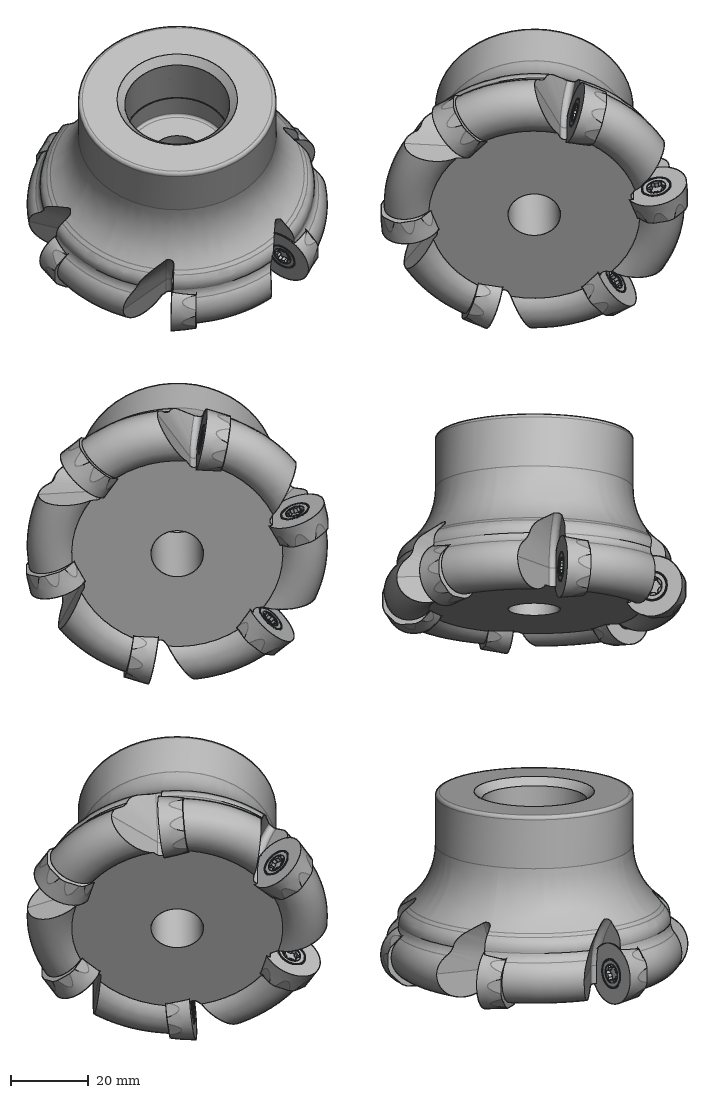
import cadquery as cq
import math

TEETH = 6
CUTTING_DIAMETER = 80.0
TOOTH_PITCH = 360 / TEETH

HEIGHT = 50.0
HUB_RADIUS = 25.5
HUB_EDGE_FILLET = 1.0
HUB_BOTTOM_Z = 36.0
FLARE_ARC_RADIUS = 20.0
FLARE_BOTTOM_Z = 20.6
SHOULDER_TOP_Z = 19.8
SHOULDER_BOTTOM_Z = 16.0
SHOULDER_ARC_RADIUS = 4.5
SHOULDER_RADIUS = 35.35
SHOULDER_WIDEST_Z = 16.3

RIM_OUTER_RADIUS = 38.68
RIM_ARC_RADIUS = 6.7
RIM_CENTRE_Z = 8.8
RIM_TOP_Z = 13.75
UNDERSIDE_Z = 4.1

BORE_DIAMETER = 27.01
BORE_CHAMFER = 2.0
BORE_DEPTH = 22.0
RELIEF_DIAMETER = 27.5
RELIEF_TOP_DEPTH = 15.0
BORE_FLOOR_DIAMETER = 26.0
THROUGH_DIAMETER = 13.5

INSERT_RADIUS = 8.0
INSERT_THICKNESS = 6.35
INSERT_RELIEF_ANGLE = 7.0
RELIEF_SLOPE = math.tan(math.radians(INSERT_RELIEF_ANGLE))
INSERT_CENTRE_X = CUTTING_DIAMETER / 2 - INSERT_RADIUS
INSERT_CENTRE_Z = INSERT_RADIUS
FLAT_COUNT = 8
FLAT_START_DEPTH = 2.9
FLAT_BACK_DISTANCE = 6.95

HEAD_DIAMETER = 7.15
HEAD_SEAT_DIAMETER = 7.8
HEAD_GAP_DEPTH = 0.4
SOCKET_RIM_DIAMETER = 5.0
SOCKET_DIAMETER = 4.5
SOCKET_LOBE_DIAMETER = 0.9
SOCKET_CORE_DIAMETER = 3.5
SOCKET_RIM_DEPTH = 0.25
SOCKET_DEPTH = 1.5
SOCKET_LOBES = 6

GULLET_WALL_Y = 0.4
GULLET_CORNER_X = 23.8
GULLET_ARC_START_Z = 9.0
GULLET_ARC_RADIUS = 20.0
GULLET_TOP_Z = 24.0
GULLET_CORNER_RADIUS = 1.3
GULLET_REACH = 22.0
CLEARANCE = 1.0


def arc_offset(radius, distance):
    """How far an arc leaves its tangent line, at a distance along that line."""
    return radius - math.sqrt(radius**2 - distance**2)


def circle_reach(radius, distance):
    """Half chord of a circle, at a distance from its centre."""
    return math.sqrt(radius**2 - distance**2)


def shoulder_radius_at(z):
    """Radius of the body on the bulging shoulder, at a height."""
    return SHOULDER_RADIUS - arc_offset(SHOULDER_ARC_RADIUS, z - SHOULDER_WIDEST_Z)


def make_blank():
    """The turned body: hub, flare, shoulder, neck and rounded rim."""
    flare_drop = HUB_BOTTOM_Z - FLARE_BOTTOM_Z
    flare_radius = HUB_RADIUS + arc_offset(FLARE_ARC_RADIUS, flare_drop)
    flare_mid = HUB_RADIUS + arc_offset(FLARE_ARC_RADIUS, flare_drop / 2)
    shoulder_mid_z = (SHOULDER_TOP_Z + SHOULDER_BOTTOM_Z) / 2
    shoulder_top = shoulder_radius_at(SHOULDER_TOP_Z)
    shoulder_mid = shoulder_radius_at(shoulder_mid_z)
    shoulder_bottom = shoulder_radius_at(SHOULDER_BOTTOM_Z)
    rim_centre = RIM_OUTER_RADIUS - RIM_ARC_RADIUS
    rim_top = rim_centre + circle_reach(RIM_ARC_RADIUS, RIM_TOP_Z - RIM_CENTRE_Z)
    rim_inner = rim_centre - circle_reach(RIM_ARC_RADIUS, RIM_CENTRE_Z - UNDERSIDE_Z)

    profile = (
        cq.Workplane("XZ")
        .moveTo(0, UNDERSIDE_Z)
        .lineTo(rim_inner, UNDERSIDE_Z)
        .threePointArc((rim_centre, RIM_CENTRE_Z - RIM_ARC_RADIUS), (RIM_OUTER_RADIUS, RIM_CENTRE_Z))
        .tangentArcPoint((rim_top, RIM_TOP_Z), relative=False)
        .tangentArcPoint((shoulder_bottom, SHOULDER_BOTTOM_Z), relative=False)
        .threePointArc((shoulder_mid, shoulder_mid_z), (shoulder_top, SHOULDER_TOP_Z))
        .lineTo(flare_radius, FLARE_BOTTOM_Z)
        .threePointArc((flare_mid, HUB_BOTTOM_Z - flare_drop / 2), (HUB_RADIUS, HUB_BOTTOM_Z))
        .lineTo(HUB_RADIUS, HEIGHT)
        .lineTo(0, HEIGHT)
        .close()
    )
    return profile.revolve(360, (0, 0, 0), (0, 1, 0)).faces(">Z").edges().fillet(HUB_EDGE_FILLET)


def make_bore():
    """Chamfered bore with a relieved lower part, a rounded floor corner and a through hole."""
    bore_radius = BORE_DIAMETER / 2
    relief_radius = RELIEF_DIAMETER / 2
    floor_radius = BORE_FLOOR_DIAMETER / 2
    floor_z = HEIGHT - BORE_DEPTH
    relief_z = HEIGHT - RELIEF_TOP_DEPTH
    corner = relief_radius - floor_radius
    return (
        cq.Workplane("XZ")
        .lineTo(THROUGH_DIAMETER / 2, 0)
        .lineTo(THROUGH_DIAMETER / 2, floor_z)
        .lineTo(floor_radius, floor_z)
        .radiusArc((relief_radius, floor_z + corner), -corner)
        .lineTo(relief_radius, relief_z)
        .lineTo(bore_radius, relief_z)
        .lineTo(bore_radius, HEIGHT - BORE_CHAMFER)
        .lineTo(bore_radius + BORE_CHAMFER, HEIGHT)
        .lineTo(0, HEIGHT)
        .close()
        .revolve(360, (0, 0, 0), (0, 1, 0))
    )


def make_gullet():
    """Space cut away in front of the insert at +X: a wall along X and a face at 45 degrees to it that
    curves outward above its straight lower part, joined by a round root."""
    rise = GULLET_TOP_Z - GULLET_ARC_START_Z
    top_x = GULLET_CORNER_X + arc_offset(GULLET_ARC_RADIUS, rise)
    mid_x = GULLET_CORNER_X + arc_offset(GULLET_ARC_RADIUS, rise / 2)
    outer_x = GULLET_CORNER_X + GULLET_REACH
    section = (
        cq.Workplane("XZ", origin=(0, GULLET_WALL_Y, 0))
        .moveTo(GULLET_CORNER_X, -CLEARANCE)
        .lineTo(GULLET_CORNER_X, GULLET_ARC_START_Z)
        .threePointArc((mid_x, GULLET_ARC_START_Z + rise / 2), (top_x, GULLET_TOP_Z))
        .lineTo(outer_x, GULLET_TOP_Z)
        .lineTo(outer_x, -CLEARANCE)
        .close()
        .wires()
        .val()
    )
    slope_run = cq.Vector(GULLET_REACH, -GULLET_REACH, 0)
    gullet_space = cq.Solid.extrudeLinear(section, [], slope_run)
    return cq.Workplane(gullet_space).faces(">Y").edges("<X or %CIRCLE").fillet(GULLET_CORNER_RADIUS)


def make_cone():
    """Tapered disc of the insert at +X; also the shape of its seat in the body."""
    back_radius = INSERT_RADIUS - INSERT_THICKNESS * RELIEF_SLOPE
    cone = (
        cq.Workplane("XY")
        .lineTo(INSERT_RADIUS, 0)
        .lineTo(back_radius, INSERT_THICKNESS)
        .lineTo(0, INSERT_THICKNESS)
        .close()
        .revolve(360, (0, 0, 0), (0, 1, 0))
    )
    return cone.translate((INSERT_CENTRE_X, 0, INSERT_CENTRE_Z))


def cut_flats(cone):
    """Indexing flats around the rear of the insert's side."""
    start_radius = INSERT_RADIUS - FLAT_START_DEPTH * RELIEF_SLOPE
    flat = (
        cq.Workplane("XY")
        .moveTo(start_radius, FLAT_START_DEPTH)
        .lineTo(FLAT_BACK_DISTANCE, INSERT_THICKNESS)
        .lineTo(INSERT_RADIUS, INSERT_THICKNESS)
        .lineTo(INSERT_RADIUS, FLAT_START_DEPTH)
        .close()
        .extrude(INSERT_RADIUS / 2, both=True)
    )
    for index in range(FLAT_COUNT):
        turned = flat.rotate((0, 0, 0), (0, 1, 0), index * 360 / FLAT_COUNT)
        cone = cone.cut(turned.translate((INSERT_CENTRE_X, 0, INSERT_CENTRE_Z)))
    return cone


def add_screw_head(blank):
    """Ring gap around the screw head, and its six-lobed socket, cut into the insert face."""
    face = cq.Workplane("XZ", origin=(INSERT_CENTRE_X, 0, INSERT_CENTRE_Z))
    gap = face.circle(HEAD_SEAT_DIAMETER / 2).circle(HEAD_DIAMETER / 2).extrude(-HEAD_GAP_DEPTH)
    rim = face.circle(SOCKET_RIM_DIAMETER / 2).extrude(-SOCKET_RIM_DEPTH)
    core = face.circle(SOCKET_CORE_DIAMETER / 2).extrude(-SOCKET_DEPTH)
    lobe_centre_radius = (SOCKET_DIAMETER - SOCKET_LOBE_DIAMETER) / 2
    lobes = (
        face.polarArray(lobe_centre_radius, 0, 360, SOCKET_LOBES)
        .circle(SOCKET_LOBE_DIAMETER / 2)
        .extrude(-SOCKET_DEPTH)
    )
    return blank.cut(gap).cut(rim).cut(core).cut(lobes)


gullet = make_gullet()
seat = make_cone()
insert = add_screw_head(cut_flats(seat))

body = make_blank().cut(make_bore())
inserts = []
for tooth in range(TEETH):
    angle = tooth * TOOTH_PITCH
    body = body.cut(gullet.rotate((0, 0, 0), (0, 0, 1), angle))
    body = body.cut(seat.rotate((0, 0, 0), (0, 0, 1), angle))
    inserts.append(insert.rotate((0, 0, 0), (0, 0, 1), angle).val())

result = cq.Compound.makeCompound([body.val(), *inserts])